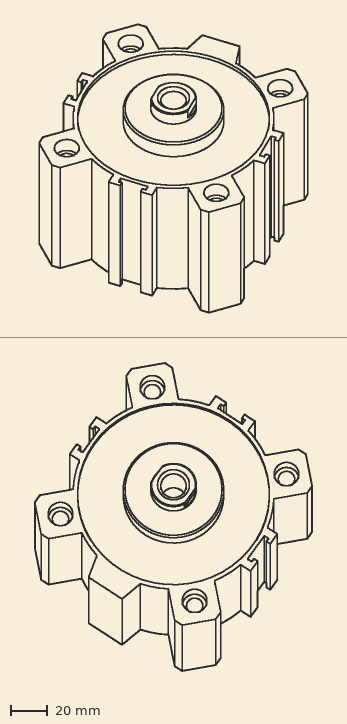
import cadquery as cq

HALF_SPAN = 60.0
BODY_HEIGHT = 77.0
BARREL_DIAMETER = 110.0
RECESS_DIAMETER = 105.0
RECESS_DEPTH = 2.5

COLLAR_DIAMETER = 55.0
COLLAR_RISE = 7.7
COLLAR_CHAMFER_HEIGHT = 1.3
COLLAR_CHAMFER_WIDTH = 1.0

LUG_WIDTH = 25.7
LUG_REACH = 75.5
HOLE_OFFSET = 44.5
HOLE_DIAMETER = 9.0
COUNTERBORE_DIAMETER = 13.5
COUNTERBORE_DEPTH = 8.5

RAIL_WIDTH = 26.0
SLOT_FLOOR = 54.7
SLOT_WIDTH = 16.3
LIP_THICKNESS = 2.5
SLOT_MOUTH_WIDTH = 12.1
RAIL_DIRECTIONS = (180, 270, 0)

RIB_REACH = 66.0
RIB_TOP_WIDTH = 22.2
RIB_BASE_WIDTH = 29.0
RIB_BASE_REACH = 52.9

ROD_DIAMETER = 25.0
ROD_RISE = 7.8
ROD_CHAMFER = 0.5
FLAT_SPACING = 22.0
FLAT_HEIGHT = 5.5
BORE_DIAMETER = 13.9
BORE_DEPTH = 25.2
COUNTERSINK_DIAMETER = 17.5
ROD_BELOW_BORE = 12.6

COLLAR_TOP = BODY_HEIGHT + COLLAR_RISE
ROD_TOP = COLLAR_TOP + ROD_RISE
RECESS_FLOOR = BODY_HEIGHT - RECESS_DEPTH
ROD_BOTTOM = ROD_TOP - BORE_DEPTH - ROD_BELOW_BORE


def cylinder(diameter, bottom, top):
    """Upright cylinder on the Z axis."""
    return cq.Workplane("XY").workplane(offset=bottom).circle(diameter / 2).extrude(top - bottom)


def bar(start, end, width, angle):
    """Full-height bar running radially from start to end, turned to the given angle."""
    return (
        cq.Workplane("XY")
        .box(end - start, width, BODY_HEIGHT, centered=(False, True, False))
        .translate((start, 0, 0))
        .rotate((0, 0, 0), (0, 0, 1), angle)
    )


def make_lugs():
    """Two crossed diagonal bars with their corners cut off by the square envelope."""
    envelope = cq.Workplane("XY").rect(2 * HALF_SPAN, 2 * HALF_SPAN).extrude(BODY_HEIGHT)
    crossed_bars = bar(-LUG_REACH, LUG_REACH, LUG_WIDTH, 45).union(
        bar(-LUG_REACH, LUG_REACH, LUG_WIDTH, 135)
    )
    return crossed_bars.intersect(envelope)


def make_rib():
    """Tapered rib with a straight root buried in the barrel."""
    half_base = RIB_BASE_WIDTH / 2
    half_top = RIB_TOP_WIDTH / 2
    return (
        cq.Workplane("XY")
        .polyline([
            (-half_base, 0),
            (-half_base, RIB_BASE_REACH),
            (-half_top, RIB_REACH),
            (half_top, RIB_REACH),
            (half_base, RIB_BASE_REACH),
            (half_base, 0),
        ])
        .close()
        .extrude(BODY_HEIGHT)
    )


def make_collar():
    """Collar with a chamfered top rim."""
    return (
        cylinder(COLLAR_DIAMETER, RECESS_FLOOR, COLLAR_TOP)
        .faces(">Z")
        .edges()
        .chamfer(COLLAR_CHAMFER_HEIGHT, COLLAR_CHAMFER_WIDTH)
    )


def make_housing():
    """Cylinder body with lugs, rails, rib and collar, bored for the rod."""
    housing = cylinder(BARREL_DIAMETER, 0, BODY_HEIGHT).union(make_lugs()).union(make_rib())

    for angle in RAIL_DIRECTIONS:
        lip_start = HALF_SPAN - LIP_THICKNESS
        housing = housing.union(bar(0, HALF_SPAN, RAIL_WIDTH, angle))
        housing = housing.cut(bar(SLOT_FLOOR, lip_start, SLOT_WIDTH, angle))
        housing = housing.cut(bar(lip_start, HALF_SPAN, SLOT_MOUTH_WIDTH, angle))

    housing = (
        housing.cut(cylinder(RECESS_DIAMETER, RECESS_FLOOR, BODY_HEIGHT))
        .union(make_collar())
        .cut(cylinder(ROD_DIAMETER, ROD_BOTTOM, COLLAR_TOP))
    )

    return (
        housing.copyWorkplane(cq.Workplane("XY", origin=(0, 0, BODY_HEIGHT)))
        .rect(2 * HOLE_OFFSET, 2 * HOLE_OFFSET, forConstruction=True)
        .vertices()
        .cboreHole(HOLE_DIAMETER, COUNTERBORE_DIAMETER, COUNTERBORE_DEPTH)
    )


def make_rod():
    """Piston rod with two wrench flats and a countersunk blind bore in its end."""
    rod = cylinder(ROD_DIAMETER, ROD_BOTTOM, ROD_TOP).faces(">Z").edges().chamfer(ROD_CHAMFER)

    flat_bottom = ROD_TOP - FLAT_HEIGHT
    between_flats = (
        cq.Workplane("XY")
        .workplane(offset=flat_bottom)
        .rect(FLAT_SPACING, ROD_DIAMETER)
        .extrude(FLAT_HEIGHT)
    )
    rod = rod.cut(cylinder(ROD_DIAMETER, flat_bottom, ROD_TOP).cut(between_flats))

    countersink_depth = (COUNTERSINK_DIAMETER - BORE_DIAMETER) / 2
    countersink = cq.Workplane(cq.Solid.makeCone(
        BORE_DIAMETER / 2,
        COUNTERSINK_DIAMETER / 2,
        countersink_depth,
        pnt=cq.Vector(0, 0, ROD_TOP - countersink_depth),
    ))
    return rod.cut(cylinder(BORE_DIAMETER, ROD_TOP - BORE_DEPTH, ROD_TOP)).cut(countersink)


housing = make_housing()
rod = make_rod()

result = cq.Compound.makeCompound([housing.solids().val(), rod.solids().val()])